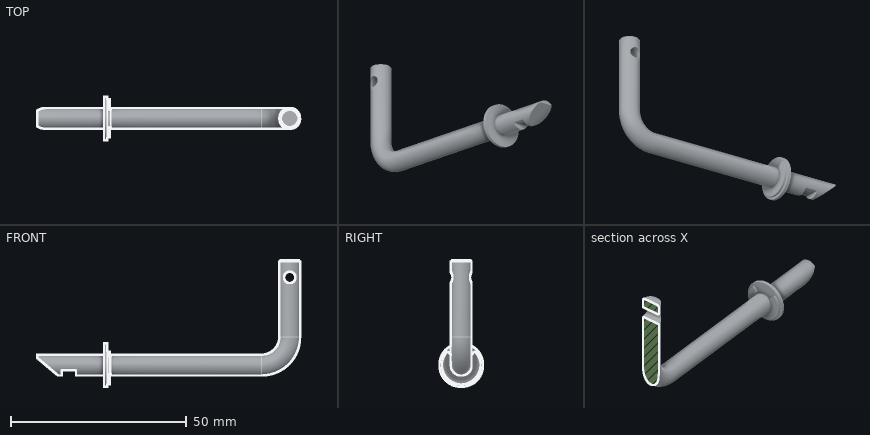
import cadquery as cq
import math


pin_length = 75.0
pin_height = 30.0
pin_diameter = 6.0
bend_radius = 8.0
top_chamfer = 0.5
pin_radius = pin_diameter / 2
arm_x = pin_length - pin_radius

tip_land = 1.0
tip_angle = 40.0

notch_start = 7.0
notch_width = 4.0
notch_depth = 1.5

hole_diameter = 3.2
hole_height = 25.0

washer_start = 19.0
washer_thickness = 1.0
washer_diameter = 12.5

clip_thickness = 0.7
clip_diameter = 11.0
clip_mouth_angle = 90.0
groove_diameter = 5.0
groove_width = 0.9
groove_start = washer_start + washer_thickness


def ring(start_x, thickness, outer_diameter, inner_diameter):
    """Flat ring around the shank axis, growing along +X from start_x."""
    return (
        cq.Workplane("YZ", origin=(start_x, 0, 0))
        .circle(outer_diameter / 2)
        .circle(inner_diameter / 2)
        .extrude(thickness)
    )


def make_bent_rod():
    """Round bar with one right-angle bend, chamfered at the top of the arm."""
    path = (
        cq.Workplane("XZ")
        .lineTo(arm_x - bend_radius, 0)
        .radiusArc((arm_x, bend_radius), -bend_radius)
        .lineTo(arm_x, pin_height)
    )
    rod = cq.Workplane("YZ").circle(pin_radius).sweep(path)
    return rod.faces(">Z").chamfer(top_chamfer)


def make_tip_cutter():
    """Wedge that removes the underside of the shank's end."""
    drop = pin_diameter - tip_land
    run = drop / math.tan(math.radians(tip_angle))
    return (
        cq.Workplane("XZ")
        .moveTo(0, pin_radius - tip_land)
        .lineTo(run, -pin_radius)
        .lineTo(0, -pin_radius)
        .close()
        .extrude(pin_radius, both=True)
    )


def make_notch_cutter():
    """Block that cuts the square notch across the underside of the shank."""
    return (
        cq.Workplane("XY")
        .box(notch_width, pin_diameter, notch_depth, centered=(False, True, False))
        .translate((notch_start, 0, -pin_radius))
    )


def make_cross_hole_cutter():
    """Cylinder along Y through the upright arm."""
    return (
        cq.Workplane("XZ")
        .center(arm_x, hole_height)
        .circle(hole_diameter / 2)
        .extrude(pin_radius, both=True)
    )


def make_pin():
    groove = ring(groove_start, groove_width, pin_diameter, groove_diameter)
    return (
        make_bent_rod()
        .cut(make_tip_cutter())
        .cut(make_notch_cutter())
        .cut(make_cross_hole_cutter())
        .cut(groove)
    )


def make_washer():
    return ring(washer_start, washer_thickness, washer_diameter, pin_diameter)


def make_clip():
    """Ring seated in the groove, with a straight-sided opening at the top that flares at its end."""
    seat_radius = groove_diameter / 2
    clip_top = clip_diameter / 2
    half_angle = math.radians(clip_mouth_angle / 2)
    flare_start = seat_radius / math.tan(half_angle)
    mouth_half_width = clip_top * math.tan(half_angle)
    mouth = (
        cq.Workplane("YZ", origin=(groove_start, 0, 0))
        .moveTo(-seat_radius, 0)
        .lineTo(seat_radius, 0)
        .lineTo(seat_radius, flare_start)
        .lineTo(mouth_half_width, clip_top)
        .lineTo(-mouth_half_width, clip_top)
        .lineTo(-seat_radius, flare_start)
        .close()
        .extrude(clip_thickness)
    )
    return ring(groove_start, clip_thickness, clip_diameter, groove_diameter).cut(mouth)


pin = make_pin()
washer = make_washer()
clip = make_clip()

result = cq.Compound.makeCompound([pin.val(), washer.val(), clip.val()])